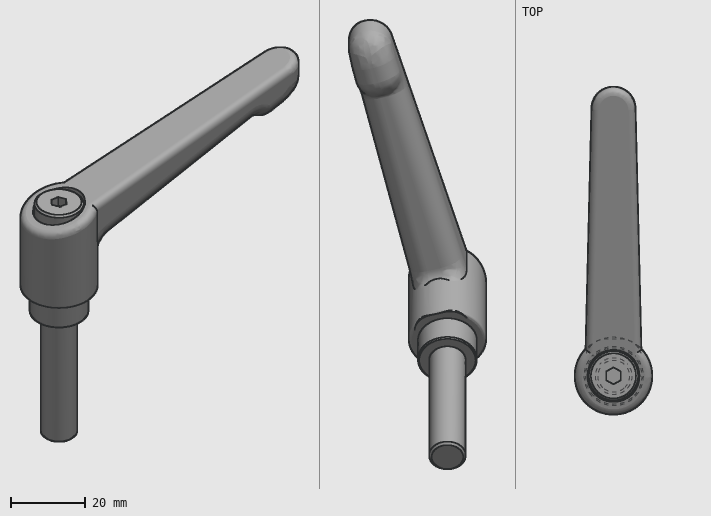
import cadquery as cq
import math

collar_bottom_z = 40.0
hub_bottom_z = 48.1
pocket_floor_z = 69.35
screw_top_z = 76.1

stud_radius = 4.9
stud_chamfer = 0.7
collar_radius = 8.0
collar_chamfer = 0.4

head_radius = 6.65
head_chamfer = 0.6
pocket_radius = 7.0
socket_flats = 4.0
socket_depth = 2.85

overall_length = 88.5
hub_diameter = 21.0
hub_radius = hub_diameter / 2
hub_bottom_fillet = 0.9
top_slope = math.radians(15)
top_z_at_axis = 74.7
top_fillet = 2.0

tip_y = overall_length - hub_radius
tip_radius = 6.0
taper = math.radians(1.4)

underside_slope = math.radians(19.7)
underside_z_at_axis = 59.1
root_y = 10.0
root_radius = 3.8
dip_start_y = 60.8
bulge_radius = 5.7
bulge_center_y = 65.2
bulge_center_z = 85.2
tip_arc_start_y = 71.25
tip_under_radius = 11.4
underside_fillet = 5.5


def top_z(y):
    return top_z_at_axis + y * math.tan(top_slope)


def underside_z(y):
    return underside_z_at_axis + y * math.tan(underside_slope)


def on_circle(center, radius, angle):
    return (center[0] + radius * math.cos(angle), center[1] + radius * math.sin(angle))


def side_profile(points):
    """Closed YZ outline placed beyond the hub on the -X side, for extruding through it."""
    return cq.Workplane("YZ").workplane(offset=-2 * hub_radius).polyline(points).close()


def make_arm_plan():
    """Tapered bar with a round tip, standing taller than the finished arm."""
    center = (0, tip_y - tip_radius)
    tangent_x, tangent_y = on_circle(center, tip_radius, taper)
    root_half_width = tangent_x + tangent_y * math.tan(taper)
    return (
        cq.Workplane("XY").workplane(offset=hub_bottom_z)
        .moveTo(-root_half_width, 0)
        .lineTo(root_half_width, 0)
        .lineTo(tangent_x, tangent_y)
        .threePointArc((0, tip_y), (-tangent_x, tangent_y))
        .close()
        .extrude(top_z(tip_y))
    )


def make_arm_profile():
    """Side shape: flat top, rounded root, finger dip and bulge, rounded lower tip."""
    down = underside_slope - math.pi / 2
    up = underside_slope + math.pi / 2

    root_tangent = root_radius * math.tan((math.pi / 2 - underside_slope) / 2)
    root_low = (root_y, underside_z(root_y) - root_tangent)
    root_center = (root_y + root_radius, root_low[1])
    root_mid = on_circle(root_center, root_radius, (math.pi + up) / 2)
    root_high = on_circle(root_center, root_radius, up)

    bulge_center = (bulge_center_y, bulge_center_z)
    dip_start = (dip_start_y, underside_z(dip_start_y))
    gap_y = bulge_center_y - dip_start[0]
    gap_z = bulge_center_z - dip_start[1]
    gap_along_normal = gap_z * math.cos(underside_slope) - gap_y * math.sin(underside_slope)
    dip_radius = (gap_y**2 + gap_z**2 - bulge_radius**2) / (2 * (bulge_radius - gap_along_normal))
    dip_center = on_circle(dip_start, dip_radius, down)
    join_angle = math.atan2(bulge_center_z - dip_center[1], bulge_center_y - dip_center[0])
    dip_mid = on_circle(dip_center, dip_radius, (up + join_angle) / 2)
    dip_end = on_circle(dip_center, dip_radius, join_angle)

    bulge_mid = on_circle(bulge_center, bulge_radius, (join_angle - math.pi + down) / 2)
    bulge_end = on_circle(bulge_center, bulge_radius, down)

    tip_start_z = bulge_end[1] + (tip_arc_start_y - bulge_end[0]) * math.tan(underside_slope)
    tip_center = on_circle((tip_arc_start_y, tip_start_z), tip_under_radius, up)
    tip_angle = -math.acos((tip_y - tip_center[0]) / tip_under_radius)
    tip_mid = on_circle(tip_center, tip_under_radius, (down + tip_angle) / 2)
    tip_end = on_circle(tip_center, tip_under_radius, tip_angle)

    return (
        cq.Workplane("YZ").workplane(offset=-hub_radius)
        .moveTo(0, hub_bottom_z)
        .lineTo(root_y, hub_bottom_z)
        .lineTo(*root_low)
        .threePointArc(root_mid, root_high)
        .lineTo(*dip_start)
        .threePointArc(dip_mid, dip_end)
        .threePointArc(bulge_mid, bulge_end)
        .lineTo(tip_arc_start_y, tip_start_z)
        .threePointArc(tip_mid, tip_end)
        .lineTo(tip_y, top_z(tip_y))
        .lineTo(0, top_z(0))
        .close()
        .extrude(2 * hub_radius)
    )


def make_arm():
    arm = make_arm_plan().intersect(make_arm_profile())
    middle_y = (root_y + dip_start_y) / 2
    below = (tip_radius, middle_y, underside_z(middle_y))
    arm = arm.edges(cq.NearestToPointSelector(below)).fillet(underside_fillet)
    above = (tip_radius, middle_y, top_z(middle_y))
    return arm.edges(cq.NearestToPointSelector(above)).fillet(top_fillet)


def make_hub():
    """Round hub cut by the sloping top plane."""
    reach = 2 * hub_radius
    above = top_z(reach) + reach
    hub = cq.Workplane("XY").workplane(offset=hub_bottom_z).circle(hub_radius).extrude(above - hub_bottom_z)
    waste = side_profile([(-reach, top_z(-reach)), (reach, top_z(reach)), (reach, above), (-reach, above)])
    hub = hub.cut(waste.extrude(2 * reach))
    return hub.edges(">Z").fillet(top_fillet).edges("<Z").fillet(hub_bottom_fillet)


def make_lever():
    pocket = cq.Workplane("XY").workplane(offset=pocket_floor_z).circle(pocket_radius).extrude(hub_radius)
    return make_hub().union(make_arm()).cut(pocket)


def make_stud():
    """Stud with the collar that bears against the underside of the hub."""
    collar = (
        cq.Workplane("XY").workplane(offset=collar_bottom_z)
        .circle(collar_radius).extrude(hub_bottom_z - collar_bottom_z)
        .edges("<Z").chamfer(collar_chamfer)
    )
    shank = cq.Workplane("XY").circle(stud_radius).extrude(collar_bottom_z).edges("<Z").chamfer(stud_chamfer)
    return collar.union(shank)


def make_screw():
    """Round screw head with a hexagon socket, corners along Y."""
    head = (
        cq.Workplane("XY").workplane(offset=pocket_floor_z)
        .circle(head_radius).extrude(screw_top_z - pocket_floor_z)
        .edges(">Z").chamfer(head_chamfer)
    )
    socket = (
        cq.Workplane("XY").workplane(offset=screw_top_z - socket_depth)
        .transformed(rotate=(0, 0, 90))
        .polygon(6, socket_flats / math.cos(math.pi / 6)).extrude(socket_depth)
    )
    return head.cut(socket)


lever = make_lever()
stud = make_stud()
screw = make_screw()
result = cq.Compound.makeCompound([lever.val(), stud.val(), screw.val()])